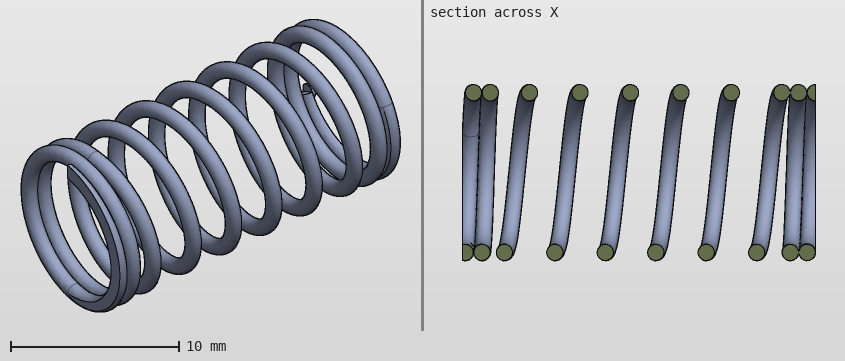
import cadquery as cq
import math

wire_diameter = 1.0
outer_diameter = 10.5
free_length = 21.0
end_turns = 2
half_turn = 0.5
ground_turns = half_turn
active_turns = 5 + 2 / 3
seam_angle = 45

wire_radius = wire_diameter / 2
mean_radius = (outer_diameter - wire_diameter) / 2
closed_pitch = wire_diameter
end_length = end_turns * closed_pitch
active_pitch = (free_length - 2 * end_length) / active_turns
total_turns = active_turns + 2 * end_turns


def turn_about_y(shape, turns):
    return shape.rotate((0, 0, 0), (0, 1, 0), 360 * turns)


def coil(pitch, turns, start_turn, start_y):
    """Right-handed coil about Y from start_y; turn 0 is at +Z and the coil heads towards +X."""
    helix = cq.Workplane(cq.Wire.makeHelix(pitch, pitch * turns, mean_radius))
    section = (
        cq.Workplane("XZ", origin=(mean_radius, 0, 0))
        .transformed(rotate=(0, 0, seam_angle))
        .circle(wire_radius)
    )
    vertical_coil = section.sweep(helix, isFrenet=True)
    coil_along_y = vertical_coil.rotate((0, 0, 0), (1, 1, 1), -120)
    return turn_about_y(coil_along_y, start_turn).translate((0, start_y, 0))


def slab(start_y):
    """Block one wire diameter thick, wider than the spring, reaching towards +Y from start_y."""
    width = 2 * outer_diameter
    block = cq.Workplane("XY").box(width, wire_diameter, width, centered=(True, False, True))
    return block.translate((0, start_y, 0))


def near_end():
    """Closed turns at Y = 0, with the first half turn ground flat."""
    ground_coil = coil(closed_pitch, ground_turns, 0, 0).cut(slab(-wire_diameter))
    full_coil = coil(closed_pitch, end_turns - ground_turns, ground_turns, ground_turns * closed_pitch)
    return ground_coil.union(full_coil)


def far_end():
    """The near end flipped end for end, so that its ground tip is where the wire finishes."""
    flip_angle = 360 * half_turn
    flipped = near_end().rotate((0, 0, 0), (1, 0, 0), flip_angle)
    return turn_about_y(flipped, total_turns - half_turn).translate((0, free_length, 0))


def end_bead():
    """Half ball standing on the far ground face, centred on the end of the wire."""
    ball = cq.Workplane("XY").sphere(wire_radius).translate((0, free_length, mean_radius))
    return turn_about_y(ball.intersect(slab(free_length)), total_turns)


active_coil = coil(active_pitch, active_turns, end_turns, end_length)

result = near_end().union(active_coil).union(far_end()).union(end_bead()).solids()